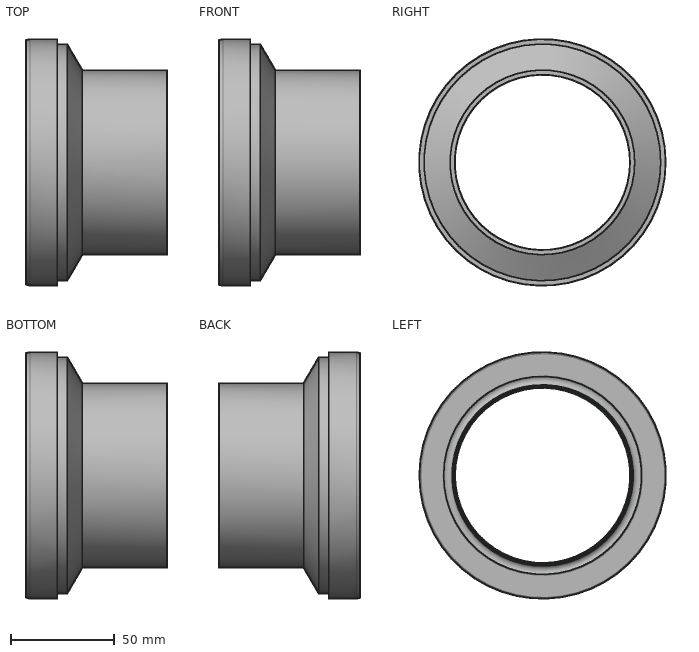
import cadquery as cq


length = 68.0
flange_radius = 59.5
flange_end = 15.1
shoulder_radius = 114.0 / 2
shoulder_end = 19.9
tube_radius = 88.9 / 2
tube_start = 27.2

rim_taper_length = 1.8
rim_taper_drop = 0.5
face_edge_rounding = 0.4

bore_radius = 84.3 / 2

recess_mouth_radius = 48.0
mouth_rounding = 0.4
recess_middle_depth = 4.8
lip_depth = 3.0
lip_crest_radius = 42.9
lip_outer_radius = 43.6
lip_outer_drop = 0.2

recess_wall_radius = recess_mouth_radius - mouth_rounding
recess_middle_radius = (recess_wall_radius + lip_outer_radius) / 2
lip_rounding = lip_crest_radius - bore_radius


def revolve_about_x(profile):
    return profile.close().revolve(360, (0, 0, 0), (1, 0, 0))


def outer_body():
    profile = (
        cq.Workplane("XY")
        .lineTo(0, flange_radius - rim_taper_drop)
        .lineTo(rim_taper_length, flange_radius)
        .lineTo(flange_end, flange_radius)
        .lineTo(flange_end, shoulder_radius)
        .lineTo(shoulder_end, shoulder_radius)
        .lineTo(tube_start, tube_radius)
        .lineTo(length, tube_radius)
        .lineTo(length, 0)
    )
    return revolve_about_x(profile).faces("<X").edges().fillet(face_edge_rounding)


def bore_with_recess():
    profile = (
        cq.Workplane("XY")
        .lineTo(0, recess_mouth_radius)
        .radiusArc((mouth_rounding, recess_wall_radius), -mouth_rounding)
        .threePointArc(
            (recess_middle_depth, recess_middle_radius),
            (lip_depth + lip_outer_drop, lip_outer_radius),
        )
        .lineTo(lip_depth, lip_crest_radius)
        .radiusArc((lip_depth + lip_rounding, bore_radius), -lip_rounding)
        .lineTo(length, bore_radius)
        .lineTo(length, 0)
    )
    return revolve_about_x(profile)


result = outer_body().cut(bore_with_recess())